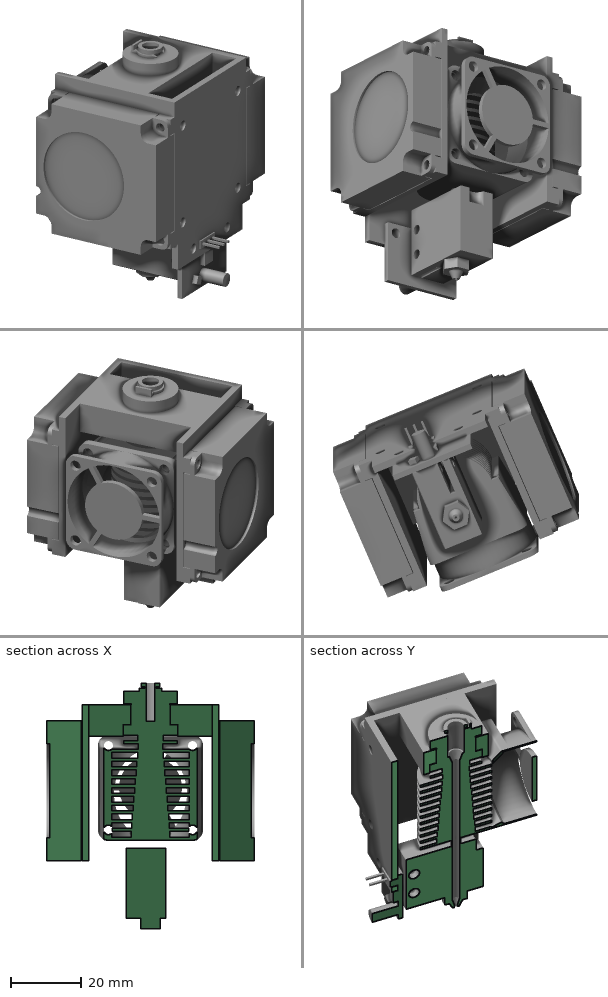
import cadquery as cq
import math


frame_width = 40.05
frame_half = frame_width / 2
wall = 2.0
frame_top = 66.1
side_wall_bottom = 21.5
back_wall_bottom = 13.7
frame_half_depth = 19.5
inner_half_depth = frame_half_depth - wall
back_wall_inner = frame_half - wall
bridge_half = 10.05
bridge_bottom = 57.05
wall_hole_diameter = 3.0
wall_hole_spacing = 29.9
tab_height = 2.2
tab_size = 4.8
tab_hole_diameter = 2.4
tab_hole_depth = 3.0

motor_gap = 0.18
motor_end = 59.2 / 2
motor_size = frame_width
motor_z = side_wall_bottom + motor_size / 2
flange_start = frame_half_depth + tab_height
flange_thickness = 1.45
flange_corner_radius = 2.0
notch = 5.05
notch_radius = 2.5
screw_spacing = 35.0
screw_hole_diameter = 2.8
recess_diameter = 27.0
recess_x = -4.1
recess_depth = 0.8
edge_groove_diameter = 3.0
edge_groove_z = 33.55

fan_front = -25.0
fan_size = 30.0
fan_thickness = 10.05
fan_back = fan_front + fan_thickness
fan_z = 42.4
fan_corner_radius = 3.0
fan_flange = 1.6
fan_bore_radius = 14.45
duct_entry_radius = 13.5
fan_hole_spacing = 24.0
fan_hole_diameter = 3.2
hub_radius = 9.0
hub_thickness = 1.5
strut_width = 1.5
strut_count = 3
duct_hole_diameter = 2.6
duct_end_half_width = 13.1
duct_slope_x = -14.0
duct_slope_radius = 1.0
duct_flat_x = -10.55
airway_end_x = -11.1
airway_end_z = 40.6
airway_end_half_width = 10.4
airway_end_half_height = 12.65

sink_bottom = fan_z - fan_size / 2
fin_count = 11
fin_diameter = 22.35
fin_thickness = 1.0
fin_pitch = 2.5
core_radius_top = 4.35
core_radius_step = 0.19
collar_diameter = 16.0
collar_thickness = 3.0
neck_diameter = 12.0
neck_length = 6.0
cap_thickness = 3.7
cap_top = 70.0
cap_bottom = cap_top - cap_thickness
collar_top = cap_bottom - neck_length
collar_bottom = collar_top - collar_thickness

collet_top = 72.3
collet_radius = 3.55
collet_neck_radius = 2.8
collet_lip = 1.15
clip_radius = 3.9
clip_thickness = 0.9
clip_tab_x = -4.85
clip_tab_half_width = 2.45
clip_tab_thickness = 0.7
clip_slot_half_width = 1.9
clip_end_bottom = 3.75
clip_end_top = 2.3
collet_bore_diameter = 4.9
collet_bore_bottom = 61.45
guide_diameter = 4.1
funnel_height = 2.9
filament_diameter = 2.0

block_front = -8.45
block_length = 24.0
block_y_min = -7.0
block_width = 11.5
block_bottom = 5.1
block_height = 20.0
block_chamfer = 0.2
slit_y = 1.5
slit_width = 1.45
slit_start = 5.8
bolt_x = 12.95
bolt_heights = (10.8, 18.3)
bolt_clearance_diameter = 3.2
bolt_thread_diameter = 2.8
pocket_depth = 4.4
pocket_diameter = 4.9
pocket_y = -1.15
heat_break_diameter = 3.0
hex_bottom = 2.2
hex_flats = 7.1
cone_diameter = 4.1
tip_diameter = 2.0
orifice_diameter = 0.8
orifice_length = 1.1

board_thickness = 1.6
board_width = 24.1
board_bottom = 2.2
board_height = 17.8
sensor_hole_spacing = 18.45
sensor_hole_z = 17.2
header_width = 7.8
header_height = 2.45
header_y = -2.1
header_z = 17.2
header_length = 2.45
pin_count = 3
pin_pitch = 2.5
pin_size = 0.65
pin_end = 25.95
can_diameter = 4.0
can_y = -0.8
can_z = 5.8
chip_thickness = 1.5
chip_bottom = 9.25
chip_width = 4.35
emitter_size = 2.4
emitter_angle = -23
emitter_y = -5.05
emitter_z = 5.8


def box(x0, x1, y0, y1, z0, z1):
    return cq.Workplane("XY").box(x1 - x0, y1 - y0, z1 - z0, centered=False).translate((x0, y0, z0))


def disc(diameter, z0, z1, x=0, y=0):
    return cq.Workplane("XY", origin=(x, y, z0)).circle(diameter / 2).extrude(z1 - z0)


def x_rod(diameter, x0, x1, y, z):
    return cq.Workplane("YZ", origin=(x0, y, z)).circle(diameter / 2).extrude(x1 - x0)


def y_rod(diameter, y0, y1, x, z):
    return cq.Workplane("XZ", origin=(x, y0, z)).circle(diameter / 2).extrude(y0 - y1)


def cone(bottom_diameter, top_diameter, z0, z1):
    solid = cq.Solid.makeCone(bottom_diameter / 2, top_diameter / 2, z1 - z0, pnt=cq.Vector(0, 0, z0))
    return cq.Workplane(obj=solid)


def square_corners(spacing):
    return [(i * spacing / 2, j * spacing / 2) for i in (-1, 1) for j in (-1, 1)]


def mount_bore():
    """Stepped hole that holds the neck and collar of the heatsink."""
    neck = disc(neck_diameter, bridge_bottom, frame_top)
    return neck.union(disc(collar_diameter, bridge_bottom, collar_top))


def corner_tab(x, z):
    """Raised corner pad on the +Y wall that carries one motor screw."""
    half = motor_size / 2
    inner = half - tab_size
    xs = sorted((math.copysign(inner, x), math.copysign(half, x)))
    zs = sorted((math.copysign(inner, z), math.copysign(half, z)))
    return box(*xs, frame_half_depth, flange_start, motor_z + zs[0], motor_z + zs[1])


def make_frame():
    inner = inner_half_depth
    side = box(-frame_half, frame_half, inner, frame_half_depth, side_wall_bottom, frame_top)
    for x, z in square_corners(screw_spacing):
        side = side.union(corner_tab(x, z))
    for x, z in square_corners(screw_spacing):
        side = side.cut(
            y_rod(tab_hole_diameter, flange_start - tab_hole_depth, flange_start, x, motor_z + z)
        )
    back = box(back_wall_inner, frame_half, -inner, inner, back_wall_bottom, frame_top)
    bridge = box(0, bridge_half, -inner, inner, bridge_bottom, frame_top).cut(mount_bore())
    frame = side.union(side.mirror("XZ")).union(back).union(bridge)
    for y, z in square_corners(wall_hole_spacing):
        frame = frame.cut(x_rod(wall_hole_diameter, back_wall_inner, frame_half, y, fan_z + z))
    for y in (-sensor_hole_spacing / 2, sensor_hole_spacing / 2):
        frame = frame.cut(x_rod(wall_hole_diameter, back_wall_inner, frame_half, y, sensor_hole_z))
    return frame.cut(header_block())


def make_clamp():
    clamp = box(-bridge_half, 0, -inner_half_depth, inner_half_depth, bridge_bottom, frame_top)
    return clamp.cut(mount_bore())


def motor_slab(y0, y1):
    half = motor_size / 2
    return box(-half, half, y0, y1, motor_z - half, motor_z + half)


def corner_notches(y0, y1, radius):
    """Cutters for the four corners, each with a rounded inner edge when a radius is given."""
    cutter = cq.Workplane("XY").box(2 * notch, y1 - y0, 2 * notch)
    if radius:
        cutter = cutter.edges("|Y").fillet(radius)
    middle = (y0 + y1) / 2
    return [cutter.translate((x, middle, motor_z + z)) for x, z in square_corners(motor_size)]


def make_motor():
    """The motor on the +Y wall."""
    face = frame_half_depth + motor_gap
    flange_end = flange_start + flange_thickness
    body = motor_slab(face, flange_start)
    for cutter in corner_notches(face, flange_start, 0):
        body = body.cut(cutter)
    shell = motor_slab(flange_end, motor_end)
    for cutter in corner_notches(flange_end, motor_end, notch_radius):
        shell = shell.cut(cutter)
    flange = motor_slab(flange_start, flange_end).edges("|Y").fillet(flange_corner_radius)
    for x, z in square_corners(screw_spacing):
        flange = flange.cut(y_rod(screw_hole_diameter, flange_start, flange_end, x, motor_z + z))
    motor = body.union(flange).union(shell)
    motor = motor.cut(y_rod(recess_diameter, motor_end - recess_depth, motor_end, recess_x, motor_z))
    return motor.cut(y_rod(edge_groove_diameter, face, motor_end, -motor_size / 2, edge_groove_z))


def make_heatsink():
    sink = disc(fin_diameter, sink_bottom, sink_bottom + fin_thickness)
    for i in range(1, fin_count + 1):
        z = sink_bottom + i * fin_pitch
        core_radius = core_radius_top + core_radius_step * (fin_count - 1 - i)
        sink = sink.union(disc(2 * core_radius, z - fin_pitch, z))
        diameter = fin_diameter if i < fin_count else collar_diameter
        sink = sink.union(disc(diameter, z, z + fin_thickness))
    top_fin = sink_bottom + fin_count * fin_pitch
    sink = sink.union(disc(2 * core_radius_top, top_fin, collar_bottom))
    sink = sink.union(disc(collar_diameter, collar_bottom, collar_top))
    sink = sink.union(disc(neck_diameter, collar_top, cap_bottom))
    return sink.union(disc(collar_diameter, cap_bottom, cap_top))


def make_collet():
    collet = disc(2 * collet_neck_radius, cap_top, collet_top)
    collet = collet.union(disc(2 * collet_radius, collet_top - collet_lip, collet_top))
    clip_top = cap_top + clip_thickness
    half = clip_tab_half_width
    clip = disc(2 * clip_radius, cap_top, clip_top)
    clip = clip.union(box(clip_tab_x, 0, -half, half, cap_top, clip_top))
    clip_end = [
        (clip_tab_x, cap_top),
        (clip_end_bottom, cap_top),
        (clip_end_top, clip_top),
        (clip_tab_x, clip_top),
    ]
    clip_side = cq.Workplane("XZ").polyline(clip_end).close().extrude(clip_radius, both=True)
    clip = clip.intersect(clip_side)
    slot = clip_slot_half_width
    clip = clip.cut(box(0, clip_radius, -slot, slot, cap_top, clip_top))
    clip = clip.union(box(clip_tab_x, clip_tab_x + clip_tab_thickness, -half, half, cap_top, collet_top))
    return collet.union(clip)


def make_heater_block():
    top = block_bottom + block_height
    back = block_front + block_length
    y_max = block_y_min + block_width
    block = box(block_front, back, block_y_min, y_max, block_bottom, top)
    block = block.faces(">Z or <Y").edges().chamfer(block_chamfer)
    slit_y_min = slit_y - slit_width / 2
    slit_y_max = slit_y + slit_width / 2
    block = block.cut(box(slit_start, back, slit_y_min, slit_y_max, block_bottom, top))
    for z in bolt_heights:
        block = block.cut(y_rod(bolt_clearance_diameter, block_y_min, slit_y, bolt_x, z))
        block = block.cut(y_rod(bolt_thread_diameter, slit_y, y_max, bolt_x, z))
    return block.cut(disc(pocket_diameter, top - pocket_depth, top, block_front, pocket_y))


def make_nozzle():
    corner_diameter = hex_flats / math.cos(math.pi / 6)
    hexagon = cq.Workplane("XY", origin=(0, 0, hex_bottom)).polygon(6, corner_diameter)
    nozzle = hexagon.extrude(block_bottom - hex_bottom).rotate((0, 0, 0), (0, 0, 1), 30)
    return nozzle.union(cone(tip_diameter, cone_diameter, 0, hex_bottom))


def filament_path():
    funnel_bottom = collet_bore_bottom - funnel_height
    path = disc(collet_bore_diameter, collet_bore_bottom, collet_top)
    path = path.union(cone(filament_diameter, guide_diameter, funnel_bottom, collet_bore_bottom))
    path = path.union(disc(filament_diameter, orifice_length + tip_diameter, funnel_bottom))
    path = path.union(
        cone(orifice_diameter, filament_diameter, orifice_length, orifice_length + tip_diameter)
    )
    return path.union(disc(orifice_diameter, 0, orifice_length))


def fan_square(x0, x1):
    square = cq.Workplane("YZ", origin=(x0, 0, fan_z)).rect(fan_size, fan_size).extrude(x1 - x0)
    return square.edges("|X").fillet(fan_corner_radius)


def make_fan():
    fan = fan_square(fan_front, fan_front + fan_flange)
    fan = fan.union(fan_square(fan_back - fan_flange, fan_back))
    for y, z in square_corners(fan_hole_spacing):
        fan = fan.cut(x_rod(fan_hole_diameter, fan_front, fan_back, y, fan_z + z))
    fan = fan.union(x_rod(fan_size, fan_front, fan_back, 0, fan_z))
    fan = fan.cut(x_rod(2 * fan_bore_radius, fan_front, fan_back, 0, fan_z))
    hub_back = fan_front + hub_thickness
    fan = fan.union(x_rod(2 * hub_radius, fan_front, hub_back, 0, fan_z))
    strut_length = (fan_bore_radius + fan_size / 2) / 2
    strut_half = strut_width / 2
    strut = box(fan_front, hub_back, -strut_length, 0, fan_z - strut_half, fan_z + strut_half)
    for i in range(strut_count):
        fan = fan.union(strut.rotate((0, 0, fan_z), (1, 0, fan_z), i * 360 / strut_count))
    return fan


def airway():
    """Air passage: a funnel at the fan, a loft to the height of the fins, then a straight run."""
    entry_depth = fan_bore_radius - duct_entry_radius
    funnel = cq.Solid.makeCone(
        fan_bore_radius, duct_entry_radius, entry_depth, cq.Vector(fan_back, 0, fan_z), cq.Vector(1, 0, 0)
    )
    loft_start = fan_back + entry_depth
    loft = (
        cq.Workplane("YZ", origin=(loft_start, 0, fan_z))
        .circle(duct_entry_radius)
        .workplane(offset=airway_end_x - loft_start)
        .center(0, airway_end_z - fan_z)
        .ellipse(airway_end_half_width, airway_end_half_height)
        .loft()
    )
    run = cq.Workplane("YZ", origin=(airway_end_x, 0, airway_end_z))
    run = run.ellipse(airway_end_half_width, airway_end_half_height).extrude(-airway_end_x)
    return loft.union(run).union(cq.Workplane(obj=funnel))


def make_duct():
    top = fan_z + fan_size / 2
    half = fan_size / 2
    flat_z = top - (duct_flat_x - duct_slope_x)
    plan = [(fan_back, -half), (0, -duct_end_half_width), (0, duct_end_half_width), (fan_back, half)]
    profile = [
        (fan_back, sink_bottom),
        (0, sink_bottom),
        (0, flat_z),
        (duct_flat_x, flat_z),
        (duct_slope_x, top),
        (fan_back, top),
    ]
    duct = fan_square(fan_back, 0)
    duct = duct.intersect(cq.Workplane("XY").polyline(plan).close().extrude(top))
    duct = duct.intersect(cq.Workplane("XZ").polyline(profile).close().extrude(half, both=True))
    slope = duct.faces(cq.selectors.BoxSelector((duct_slope_x, -0.7, flat_z), (duct_flat_x, 0.7, top)))
    duct = slope.edges("not <Z").fillet(duct_slope_radius)
    duct = duct.cut(airway()).cut(disc(fin_diameter, 0, top))
    for y, z in square_corners(fan_hole_spacing):
        duct = duct.cut(x_rod(duct_hole_diameter, fan_back, 0, y, fan_z + z))
    return duct


def make_hotend():
    heat_break = disc(heat_break_diameter, block_bottom, sink_bottom)
    hotend = make_heatsink().union(make_collet()).union(heat_break)
    hotend = hotend.union(make_heater_block()).union(make_nozzle()).cut(filament_path())
    return hotend.union(make_duct()).union(make_fan())


def header_block():
    y0 = header_y - header_width / 2
    z0 = header_z - header_height / 2
    x0 = back_wall_inner
    return box(x0, x0 + header_length, y0, y0 + header_width, z0, z0 + header_height)


def make_sensor():
    face = back_wall_inner
    half = board_width / 2
    board_top = board_bottom + board_height
    sensor = box(face - board_thickness, face, -half, half, board_bottom, board_top)
    for y in (-sensor_hole_spacing / 2, sensor_hole_spacing / 2):
        sensor = sensor.cut(x_rod(wall_hole_diameter, face - board_thickness, face, y, sensor_hole_z))
    sensor = sensor.union(header_block())
    for i in range(pin_count):
        y0 = header_y + (i - (pin_count - 1) / 2) * pin_pitch - pin_size / 2
        z0 = header_z - pin_size / 2
        sensor = sensor.union(box(face, pin_end, y0, y0 + pin_size, z0, z0 + pin_size))
    can = x_rod(can_diameter, face, pin_end, can_y, can_z)
    chip = box(face, face + chip_thickness, -chip_width / 2, chip_width / 2, chip_bottom, back_wall_bottom)
    emitter = (
        cq.Workplane("YZ", origin=(face, emitter_y, emitter_z))
        .transformed(rotate=(0, 0, emitter_angle))
        .rect(emitter_size, emitter_size)
        .extrude(chip_thickness)
    )
    return sensor.union(can).union(chip).union(emitter)


frame = make_frame()
clamp = make_clamp()
motors = [make_motor(), make_motor().mirror("XZ")]
hotend = make_hotend()
sensor = make_sensor()

result = cq.Compound.makeCompound(
    [frame.val(), clamp.val(), *[motor.val() for motor in motors], hotend.val(), sensor.val()]
)